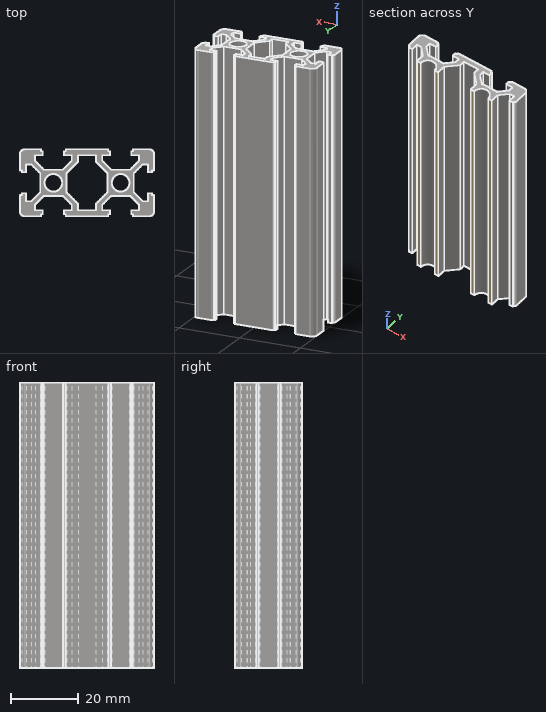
import cadquery as cq

length = 85.0
width = 40.0
cell = width / 2
half_cell = cell / 2
corner_radius = 1.5

core_width = 7.9
core_half_width = core_width / 2
bore_diameter = 5.2

web_offset = 1.1
slot_floor_half_width = core_half_width - web_offset

lip_thickness = 1.9
lip_inner = half_cell - lip_thickness
pocket_half_width = 5.4
mouth_width = 6.2
mouth_half_width = mouth_width / 2
step_width = 0.5
step_depth = 0.6
step_half_width = mouth_half_width + step_width
step_floor = half_cell - step_depth
step_edge_radius = 0.25

cavity_half_width = 2.6

overshoot = 0.85


def mirrored_outline(right_side):
    """Close a polygon from its right half, mirrored about the Y axis."""
    left_side = [(-x, y) for x, y in reversed(right_side)]
    return cq.Workplane("XY").polyline(right_side + left_side).close()


def edge_rounding_cutter(side):
    """Cutter that rounds the outer edge of one lip; side is 1 or -1 along X."""
    wall_x = side * step_half_width
    tangent_x = side * (step_half_width + step_edge_radius)
    return (
        cq.Workplane("XY")
        .moveTo(wall_x, half_cell - step_edge_radius)
        .radiusArc((tangent_x, half_cell), side * step_edge_radius)
        .lineTo(wall_x, half_cell)
        .close()
        .extrude(length)
    )


def slot_cutter():
    """T-slot opening toward +Y, for a cell centred on the origin."""
    right_side = [
        (slot_floor_half_width, core_half_width),
        (pocket_half_width, pocket_half_width + web_offset),
        (pocket_half_width, lip_inner),
        (mouth_half_width, lip_inner),
        (mouth_half_width, step_floor),
        (step_half_width, step_floor),
        (step_half_width, half_cell + overshoot),
    ]
    slot = mirrored_outline(right_side).extrude(length)
    for side in (1, -1):
        slot = slot.union(edge_rounding_cutter(side))
    return slot


def cavity_cutter():
    """Closed through cavity centred between the two cells."""
    core_face = half_cell - core_half_width
    shoulder = half_cell - cavity_half_width - web_offset
    right_side = [
        (cavity_half_width, -lip_inner),
        (cavity_half_width, -shoulder),
        (core_face, -slot_floor_half_width),
        (core_face, slot_floor_half_width),
        (cavity_half_width, shoulder),
        (cavity_half_width, lip_inner),
    ]
    return mirrored_outline(right_side).extrude(length)


result = (
    cq.Workplane("XY")
    .rect(width, cell)
    .extrude(length)
    .edges("|Z")
    .fillet(corner_radius)
    .cut(cavity_cutter())
)

bore_cutter = cq.Workplane("XY").circle(bore_diameter / 2).extrude(length)
for cell_side, end_angle in ((-1, 90), (1, -90)):
    cell_centre = (cell_side * half_cell, 0, 0)
    result = result.cut(bore_cutter.translate(cell_centre))
    for angle in (0, 180, end_angle):
        slot = slot_cutter().rotate((0, 0, 0), (0, 0, 1), angle)
        result = result.cut(slot.translate(cell_centre))